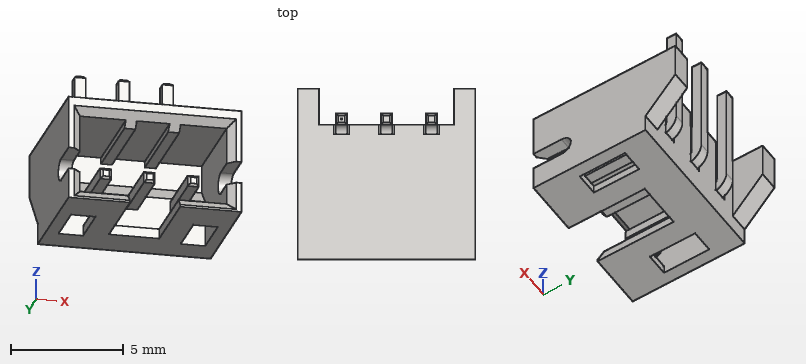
import cadquery as cq

WIDTH = 7.9
DEPTH = 7.6
HOUSING_HEIGHT = 4.8
TOTAL_HEIGHT = 8.2

BLOCK_DEPTH = 6.0
LEG_WIDTH = 0.95
LEG_SLOPE_LOW = 0.97
LEG_SLOPE_HIGH = 2.805

SIDE_WALL = 0.6
FLOOR = 0.45
CEILING_WALL = 0.755
LEAD_IN = 0.35
LOWER_WALL_Y = 4.5
LOWER_WALL_TOP = 2.1
WALL_STEP = 0.68
CAVITY_WIDTH = WIDTH - 2 * SIDE_WALL
CEILING = HOUSING_HEIGHT - CEILING_WALL
UPPER_WALL_Y = LOWER_WALL_Y + WALL_STEP

SIDE_SLOT_HEIGHT = 1.0
SIDE_SLOT_LENGTH = 2.0
SIDE_SLOT_Z = 1.88
FLOOR_SLOT_WIDTH = 2.3
FLOOR_SLOT_LENGTH = 4.075
WINDOW_START = 2.08
WINDOW_INNER_X = 2.23

PIN_COUNT = 3
PITCH = 2.0
PIN_SIZE = 0.5
PIN_Z = 1.7
PIN_TIP_Y = 1.0
PIN_TAPER = 0.11
BEND_RADIUS = 0.4
PIN_NOTCH_WIDTH = 0.7
PIN_NOTCH_DEPTH = 0.43
MARK_DIAMETER = 0.065
MARK_DEPTH = 0.05
PIN_BOTTOM = PIN_Z - PIN_SIZE / 2
PIN_TOP = PIN_Z + PIN_SIZE / 2
PIN_REAR_Y = BLOCK_DEPTH + PIN_SIZE
PIN_XS = [(i - (PIN_COUNT - 1) / 2) * PITCH for i in range(PIN_COUNT)]

RIB_WIDTH = 0.5
RIB_HEIGHT = 0.29
RIB_XS = [x + PITCH / 2 for x in PIN_XS[:-1]]


def box(x0, x1, y0, y1, z0, z1):
    """Axis-aligned block between two opposite corners."""
    return cq.Workplane("XY").box(x1 - x0, y1 - y0, z1 - z0, centered=False).translate((x0, y0, z0))


def extrude_yz(points, width, x_center=0):
    """Extrude a closed (Y, Z) outline along X, centred on x_center."""
    outline = cq.Workplane("YZ").polyline(points).close()
    return outline.extrude(width / 2, both=True).translate((x_center, 0, 0))


def housing_blank():
    side_outline = [
        (0, 0),
        (BLOCK_DEPTH, 0),
        (BLOCK_DEPTH, LEG_SLOPE_LOW),
        (DEPTH, LEG_SLOPE_HIGH),
        (DEPTH, HOUSING_HEIGHT),
        (0, HOUSING_HEIGHT),
    ]
    half_gap = WIDTH / 2 - LEG_WIDTH
    leg_gap = box(-half_gap, half_gap, BLOCK_DEPTH, DEPTH, 0, HOUSING_HEIGHT)
    return extrude_yz(side_outline, WIDTH).cut(leg_gap)


def cavity():
    """Cavity whose rear wall steps back at 45 degrees, with a 45 degree lead-in around its mouth."""
    outline = [
        (0, FLOOR),
        (LOWER_WALL_Y, FLOOR),
        (LOWER_WALL_Y, LOWER_WALL_TOP),
        (UPPER_WALL_Y, LOWER_WALL_TOP + WALL_STEP),
        (UPPER_WALL_Y, CEILING),
        (0, CEILING),
    ]
    mouth_width = CAVITY_WIDTH + 2 * LEAD_IN
    mouth_height = CEILING - FLOOR + 2 * LEAD_IN
    lead_in = (
        cq.Workplane("XZ", origin=(0, 0, (FLOOR + CEILING) / 2))
        .rect(mouth_width, mouth_height)
        .workplane(offset=-LEAD_IN)
        .rect(CAVITY_WIDTH, CEILING - FLOOR)
        .loft(ruled=True)
    )
    return extrude_yz(outline, CAVITY_WIDTH).union(lead_in)


def side_slot():
    """Round-ended slot through both side walls, open at the mating face."""
    radius = SIDE_SLOT_HEIGHT / 2
    arc_start_y = SIDE_SLOT_LENGTH - radius
    outline = (
        cq.Workplane("YZ")
        .moveTo(0, SIDE_SLOT_Z - radius)
        .lineTo(arc_start_y, SIDE_SLOT_Z - radius)
        .threePointArc((SIDE_SLOT_LENGTH, SIDE_SLOT_Z), (arc_start_y, SIDE_SLOT_Z + radius))
        .lineTo(0, SIDE_SLOT_Z + radius)
        .close()
    )
    return outline.extrude(WIDTH / 2, both=True)


def floor_openings():
    """Central slot open at the mating face, and a window beside each side wall."""
    half_slot = FLOOR_SLOT_WIDTH / 2
    slot = box(-half_slot, half_slot, 0, FLOOR_SLOT_LENGTH, 0, FLOOR)
    window = box(WINDOW_INNER_X, CAVITY_WIDTH / 2, WINDOW_START, LOWER_WALL_Y, 0, FLOOR)
    return slot.union(window).union(window.mirror("YZ"))


def ceiling_rib(x):
    """Rib along the cavity ceiling with a 45 degree ramp behind the lead-in."""
    outline = [
        (LEAD_IN, CEILING),
        (LEAD_IN + RIB_HEIGHT, CEILING - RIB_HEIGHT),
        (UPPER_WALL_Y, CEILING - RIB_HEIGHT),
        (UPPER_WALL_Y, CEILING),
    ]
    return extrude_yz(outline, RIB_WIDTH, x)


def pin_notch(x):
    """Recess in the rear face of the block that clears the bend of one pin."""
    half = PIN_NOTCH_WIDTH / 2
    return box(x - half, x + half, BLOCK_DEPTH - PIN_NOTCH_DEPTH, BLOCK_DEPTH, PIN_BOTTOM, HOUSING_HEIGHT)


def pin(x):
    """Square right-angle pin with tapered tips."""
    profile = (
        cq.Workplane("YZ")
        .moveTo(PIN_TIP_Y, PIN_BOTTOM)
        .lineTo(BLOCK_DEPTH - BEND_RADIUS, PIN_BOTTOM)
        .radiusArc((PIN_REAR_Y, PIN_TOP + BEND_RADIUS), -(BEND_RADIUS + PIN_SIZE))
        .lineTo(PIN_REAR_Y, TOTAL_HEIGHT)
        .lineTo(BLOCK_DEPTH, TOTAL_HEIGHT)
        .lineTo(BLOCK_DEPTH, PIN_TOP + BEND_RADIUS)
        .radiusArc((BLOCK_DEPTH - BEND_RADIUS, PIN_TOP), BEND_RADIUS)
        .lineTo(PIN_TIP_Y, PIN_TOP)
        .close()
    )
    blank = profile.extrude(PIN_SIZE / 2, both=True)
    tapered = blank.faces("<Y").chamfer(PIN_TAPER).faces(">Z").chamfer(PIN_TAPER)
    return tapered.translate((x, 0, 0))


def first_pin_mark():
    """Shallow round dimple in the upper tip of the first pin."""
    tip = (PIN_XS[0], BLOCK_DEPTH + PIN_SIZE / 2, TOTAL_HEIGHT - MARK_DEPTH)
    return cq.Workplane("XY", origin=tip).circle(MARK_DIAMETER / 2).extrude(MARK_DEPTH)


result = housing_blank().cut(cavity()).cut(side_slot()).cut(floor_openings())

for rib_x in RIB_XS:
    result = result.union(ceiling_rib(rib_x))

for pin_x in PIN_XS:
    result = result.cut(pin_notch(pin_x)).union(pin(pin_x))

result = result.cut(first_pin_mark())